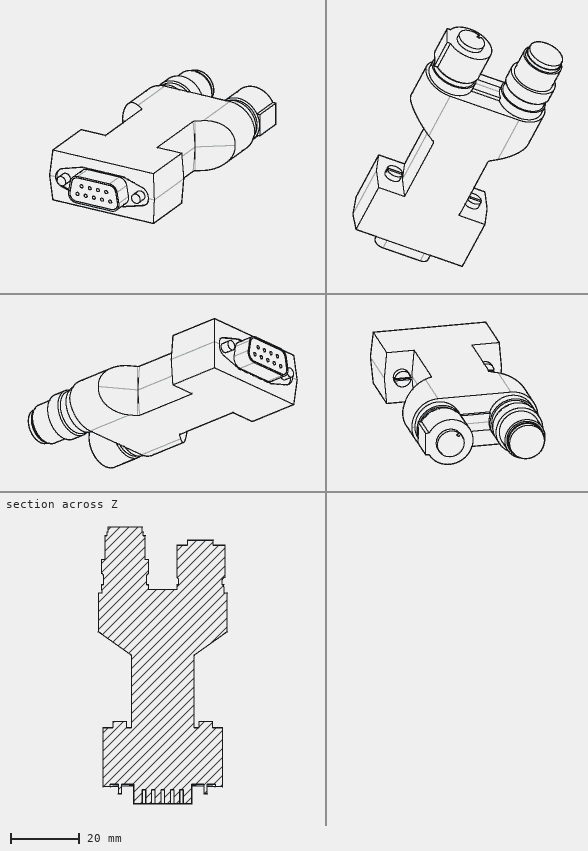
import cadquery as cq
import math


length = 80.7
width = 37.9
height = 16.0
half_height = height / 2
draft_angle = 5.0
front_y = 4.85
block_rear_y = 22.2
block_half_width = 17.6
neck_half_width = 9.4
shoulder_start_y = 43.3
shoulder_end_y = 50.05
head_rear_y = 61.6

overlap = 4.0

flange_y = 5.65
flange_half_height = 4.8
flange_flat_half_width = 6.95
flange_end_radius = 3.1
shell_half_height = 4.3
shell_mid_half_width = 8.2
shell_side_angle = 10.0
shell_corner_radius = 2.6
shell_wall = 0.5
insert_recess = 0.1
contact_pitch = 2.75
contact_row_z = 1.4
contact_diameter = 1.0
contact_depth = 4.0

screw_x = 12.5
screw_radius = 1.45
screw_tip_y = 2.9
screw_head_radius = 2.4
screw_head_y = 24.05
slot_width = 0.7
slot_depth = 1.0

connector_x = 11.0
connector_root_y = 56.5
collar_radius = 7.0
collar_y = 63.9
groove_radius = 6.5
nut_bevel = 0.5

male_nut_y = 67.2
male_nut_end_y = 71.3
male_barrel_radius = 6.05
male_barrel_end_y = 78.2
male_ring_radius = 5.5
male_ring_end_y = 79.3
male_tip_radius = 5.25

sleeve_y = 65.95
sleeve_end_y = 75.4
sleeve_pad_x = 7.2
sleeve_pad_half_width = 3.4
female_tip_radius = 4.0
female_tip_y = 76.85
key_width = 0.8
key_depth = 1.0
key_angle = 132.0

bridge_half_width = 4.6
bridge_half_height = 2.6
bridge_rear_y = 62.65


def mirrored(right_points):
    """Close an outline from its +X half, given from front to rear."""
    return right_points + [(-x, y) for x, y in reversed(right_points)]


def drafted(outline, half_thickness):
    """Slab around z = 0 whose walls draft inwards both upwards and downwards."""
    plan = cq.Workplane("XY").polyline(outline).close()
    upper = plan.extrude(half_thickness, taper=draft_angle)
    return upper.union(upper.mirror("XY"))


def box(x_range, y_range, z_range):
    sizes = [high - low for low, high in (x_range, y_range, z_range)]
    corner = (x_range[0], y_range[0], z_range[0])
    return cq.Workplane("XY").box(*sizes, centered=False).translate(corner)


def cylinder(x, radius, start_y, end_y):
    """Cylinder along Y, centred at z = 0."""
    plane = cq.Plane(origin=(x, start_y, 0), xDir=(1, 0, 0), normal=(0, 1, 0))
    return cq.Workplane(plane).circle(radius).extrude(end_y - start_y)


def front_plane(y):
    """Sketch plane across Y with +X right and +Z up; extrusions run towards -Y."""
    return cq.Workplane("XZ", origin=(0, y, 0))


def make_block():
    """Block around the D-sub, drafted everywhere except on its flat rear."""
    outline = mirrored([(block_half_width, front_y), (block_half_width, block_rear_y + overlap)])
    trim = box((-width, width), (0, block_rear_y), (-height, height))
    return drafted(outline, half_height).intersect(trim)


def make_neck_and_head():
    """Neck that widens at its shoulders into a head with round sides."""
    shoulder_slope = (shoulder_end_y - shoulder_start_y) / (width / 2 - neck_half_width)
    overrun_x = width / 2 + overlap
    overrun_y = shoulder_start_y + shoulder_slope * (overrun_x - neck_half_width)
    outline = mirrored([
        (neck_half_width, block_rear_y - overlap),
        (neck_half_width, shoulder_start_y),
        (overrun_x, overrun_y),
        (overrun_x, head_rear_y),
    ])
    round_sides = front_plane(length).slot2D(width, height).extrude(length)
    return drafted(outline, half_height).intersect(round_sides)


def make_bridge():
    outline = mirrored([(bridge_half_width, connector_root_y), (bridge_half_width, bridge_rear_y)])
    return drafted(outline, bridge_half_height)


def flange_end_tangent():
    """Where the sloping flange edge meets the round end on the +X side."""
    reach_x = flange_flat_half_width - screw_x
    corner_distance = math.hypot(reach_x, flange_half_height)
    corner_direction = math.atan2(flange_half_height, reach_x)
    angle = corner_direction - math.acos(flange_end_radius / corner_distance)
    return screw_x + flange_end_radius * math.cos(angle), flange_end_radius * math.sin(angle)


def make_flange_recess():
    """Clearance in front of the D-sub flange: a six-sided plate with round ends."""
    tangent_x, tangent_z = flange_end_tangent()
    end_x = screw_x + flange_end_radius
    return (
        front_plane(flange_y)
        .moveTo(-flange_flat_half_width, flange_half_height)
        .lineTo(flange_flat_half_width, flange_half_height)
        .lineTo(tangent_x, tangent_z)
        .threePointArc((end_x, 0), (tangent_x, -tangent_z))
        .lineTo(flange_flat_half_width, -flange_half_height)
        .lineTo(-flange_flat_half_width, -flange_half_height)
        .lineTo(-tangent_x, -tangent_z)
        .threePointArc((-end_x, 0), (-tangent_x, tangent_z))
        .close()
        .extrude(flange_y)
    )


def d_prism(inset, start_y, end_y):
    """Round-cornered D-sub trapezoid, wider at the bottom, shrunk evenly by `inset`."""
    side_angle = math.radians(shell_side_angle)
    top_z = shell_half_height - inset
    mid_x = shell_mid_half_width - inset / math.cos(side_angle)
    lean = top_z * math.tan(side_angle)
    outline = mirrored([(mid_x + lean, -top_z), (mid_x - lean, top_z)])
    prism = front_plane(end_y).polyline(outline).close().extrude(end_y - start_y)
    return prism.edges("|Y").fillet(shell_corner_radius - inset)


def row_of_contacts(count, z):
    return [((i - (count - 1) / 2) * contact_pitch, z) for i in range(count)]


def make_contact_holes():
    upper_row = row_of_contacts(4, contact_row_z)
    lower_row = row_of_contacts(5, -contact_row_z)
    return (
        front_plane(contact_depth)
        .pushPoints(upper_row + lower_row)
        .circle(contact_diameter / 2)
        .extrude(contact_depth)
    )


def make_screw(x):
    """Jack screw with a slotted head behind the block."""
    shank = cylinder(x, screw_radius, screw_tip_y, block_rear_y)
    head = cylinder(x, screw_head_radius, block_rear_y - overlap, screw_head_y)
    slot = box(
        (x - screw_head_radius, x + screw_head_radius),
        (screw_head_y - slot_depth, screw_head_y),
        (-slot_width / 2, slot_width / 2),
    )
    return shank.union(head).cut(slot)


def revolved(x, profile):
    """Solid of revolution about Y from (radius, y) points listed from root to tip."""
    root_y = profile[0][1]
    tip_y = profile[-1][1]
    outline = [(0, root_y)] + profile + [(0, tip_y)]
    solid = cq.Workplane("XY").polyline(outline).close().revolve(360, (0, 0, 0), (0, 1, 0))
    return solid.translate((x, 0, 0))


def base_profile(nut_y):
    """Collar, groove and bevelled start of the coupling nut."""
    return [
        (collar_radius, connector_root_y),
        (collar_radius, collar_y),
        (groove_radius, collar_y),
        (groove_radius, nut_y - nut_bevel),
        (collar_radius, nut_y),
    ]


def make_male_connector():
    return revolved(-connector_x, base_profile(male_nut_y) + [
        (collar_radius, male_nut_end_y),
        (male_barrel_radius, male_nut_end_y),
        (male_barrel_radius, male_barrel_end_y),
        (male_ring_radius, male_barrel_end_y),
        (male_ring_radius, male_ring_end_y),
        (male_tip_radius, male_ring_end_y),
        (male_tip_radius, length),
    ])


def make_female_connector():
    """Sleeve with a flat pad on its outer side, and a keyed tip."""
    body = revolved(connector_x, base_profile(sleeve_y) + [
        (collar_radius, sleeve_end_y),
        (female_tip_radius, sleeve_end_y),
        (female_tip_radius, female_tip_y),
    ])
    side_pad = box(
        (connector_x, connector_x + sleeve_pad_x),
        (sleeve_y, sleeve_end_y),
        (-sleeve_pad_half_width, sleeve_pad_half_width),
    )
    keyway = box(
        (female_tip_radius - key_depth, female_tip_radius + key_depth),
        (sleeve_end_y, female_tip_y),
        (-key_width / 2, key_width / 2),
    )
    keyway = keyway.rotate((0, 0, 0), (0, 1, 0), -key_angle).translate((connector_x, 0, 0))
    return body.union(side_pad).cut(keyway)


result = make_block().union(make_neck_and_head()).union(make_bridge())
result = result.cut(make_flange_recess())
result = result.union(d_prism(0, 0, flange_y + overlap))
result = result.cut(d_prism(shell_wall, 0, insert_recess))
result = result.cut(make_contact_holes())
for side in (-1, 1):
    result = result.union(make_screw(side * screw_x))
result = result.union(make_male_connector()).union(make_female_connector())